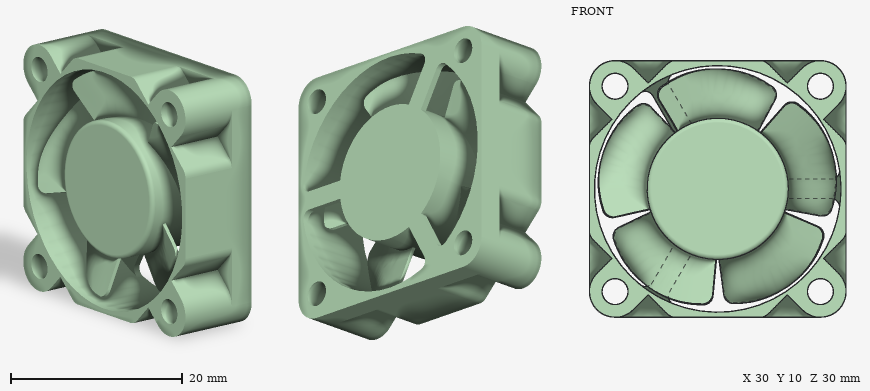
import cadquery as cq
import math

side = 30
side_count = 4
depth = 10.0
rear_y = depth / 2

corner_radius = 3
hole_diameter = 3
hole_place = side / 2 - corner_radius
flange_thickness = 3
bore_radius = 14.4
notch_apex_x = 8.13
notch_edge_radius = 1.5

hub_radius = 8.25
hub_recess = 0.45
hub_edge_radius = 0.5
strut_count = 3
strut_width = 2.28
strut_thickness = 0.8
strut_fillet = 1.0
strut_overrun = 0.3

blade_count = 5
blade_thickness = 0.4
blade_tip_radius = 14.05
blade_end_radius = 13.38
blade_corner_radius = 1.2
root_lead_angle, root_trail_angle = 52.5, -17.5
tip_lead_angle, tip_trail_angle = 51, -14.5
root_lead_y, root_trail_y = -2.37, 0.48
tip_lead_y, tip_trail_y = -4.75, 2.7
tip_wave = 0.65
root_overlap = 0.45
edge_margin = 0.1
curve_steps = 8


def rear_plane(distance=0):
    """Sketch plane (X, Z) at a distance in front of the rear face; extrudes toward the front."""
    return cq.Workplane("XZ", origin=(0, rear_y - distance, 0))


def polar(radius, degrees):
    angle = math.radians(degrees)
    return (radius * math.cos(angle), radius * math.sin(angle))


def spin(body, index, count):
    return body.rotate((0, 0, 0), (0, 1, 0), -index * 360 / count)


def make_notch():
    """V notch in the top side, left of the middle: corner post on one flank, bore wall on the other."""
    half = side / 2
    half_turn = math.radians(45) / 2
    diagonal = math.sqrt(0.5)
    post_tangent = (-hole_place + corner_radius * diagonal, hole_place + corner_radius * diagonal)
    post_arc_middle = (
        -hole_place + corner_radius * math.sin(half_turn),
        hole_place + corner_radius * math.cos(half_turn),
    )
    apex_z = sum(post_tangent) + notch_apex_x
    mouth_x = -notch_apex_x + half - apex_z
    setback = notch_edge_radius * math.tan(half_turn)
    edge_start = (mouth_x - setback * diagonal, half - setback * diagonal)
    edge_end = (mouth_x + setback, half)
    edge_middle = (
        edge_end[0] - notch_edge_radius * math.sin(half_turn),
        half - notch_edge_radius * (1 - math.cos(half_turn)),
    )
    return (
        rear_plane(flange_thickness)
        .moveTo(-hole_place, half)
        .threePointArc(post_arc_middle, post_tangent)
        .lineTo(-notch_apex_x, apex_z)
        .lineTo(*edge_start)
        .threePointArc(edge_middle, edge_end)
        .close()
        .extrude(depth - flange_thickness)
    )


def make_frame():
    frame = rear_plane().rect(side, side).extrude(depth).edges("|Y").fillet(corner_radius)
    frame = frame.cut(rear_plane().circle(bore_radius).extrude(depth))
    hole_spacing = 2 * hole_place
    holes = rear_plane().rect(hole_spacing, hole_spacing, forConstruction=True).vertices()
    frame = frame.cut(holes.circle(hole_diameter / 2).extrude(depth))
    notch = make_notch()
    notch_pair = notch.union(notch.mirror("YZ"))
    for index in range(side_count):
        frame = frame.cut(spin(notch_pair, index, side_count))
    return frame


def make_hub():
    hub = rear_plane().circle(hub_radius).extrude(depth - hub_recess)
    return hub.faces("<Y").edges().fillet(hub_edge_radius)


def make_struts():
    """Rear spider: three arms from the hub, flared by fillets where they meet the bore."""
    disc = rear_plane().circle(bore_radius).extrude(strut_thickness)
    windows = disc
    for index in range(strut_count):
        arm = rear_plane().center(bore_radius / 2, 0).rect(bore_radius + 2 * strut_overrun, strut_width)
        windows = windows.cut(spin(arm.extrude(strut_thickness), index, strut_count))
    windows = windows.edges("|Y").fillet(strut_fillet)
    return disc.cut(windows)


def blade_curve(radius, lead_angle, trail_angle, lead_y, trail_y, wave):
    """Curve on a cylinder from trailing to leading edge, with a margin beyond both."""
    points = []
    for step in range(curve_steps + 1):
        along = (1 + edge_margin) * (2 * step / curve_steps - 1)
        angle = (lead_angle + trail_angle) / 2 + along * (lead_angle - trail_angle) / 2
        y = (lead_y + trail_y) / 2 + along * (lead_y - trail_y) / 2 - wave * math.sin(math.pi * along)
        x, z = polar(radius, angle)
        points.append(cq.Vector(x, y, z))
    return cq.Edge.makeSpline(points)


def make_blade():
    foot_radius = hub_radius - root_overlap
    reach = blade_tip_radius + root_overlap
    foot_curve = blade_curve(foot_radius, root_lead_angle, root_trail_angle, root_lead_y, root_trail_y, 0)
    tip_curve = blade_curve(reach, tip_lead_angle, tip_trail_angle, tip_lead_y, tip_trail_y, tip_wave)
    surface = cq.Face.makeRuledSurface(foot_curve, tip_curve)

    tip_middle_angle = (tip_lead_angle + tip_trail_angle) / 2
    root_middle_angle = (root_lead_angle + root_trail_angle) / 2
    tip_lead = polar(blade_end_radius, tip_lead_angle)
    tip_trail = polar(blade_end_radius, tip_trail_angle)
    root_lead = polar(foot_radius, root_lead_angle)
    root_trail = polar(foot_radius, root_trail_angle)
    planform = (
        rear_plane()
        .moveTo(*root_trail)
        .lineTo(*tip_trail)
        .threePointArc(polar(blade_tip_radius, tip_middle_angle), tip_lead)
        .lineTo(*root_lead)
        .threePointArc(polar(foot_radius, root_middle_angle), root_trail)
        .close()
        .extrude(depth)
    )
    for corner_x, corner_z in (tip_lead, tip_trail):
        corner = cq.selectors.NearestToPointSelector((corner_x, 0, corner_z))
        planform = planform.edges("|Y").edges(corner).fillet(blade_corner_radius)
    trimmed_surface = surface.intersect(planform.val()).faces()
    return cq.Workplane(trimmed_surface.thicken(blade_thickness))


result = make_frame().union(make_struts()).union(make_hub())
blade = make_blade()
for blade_index in range(blade_count):
    result = result.union(spin(blade, blade_index, blade_count))